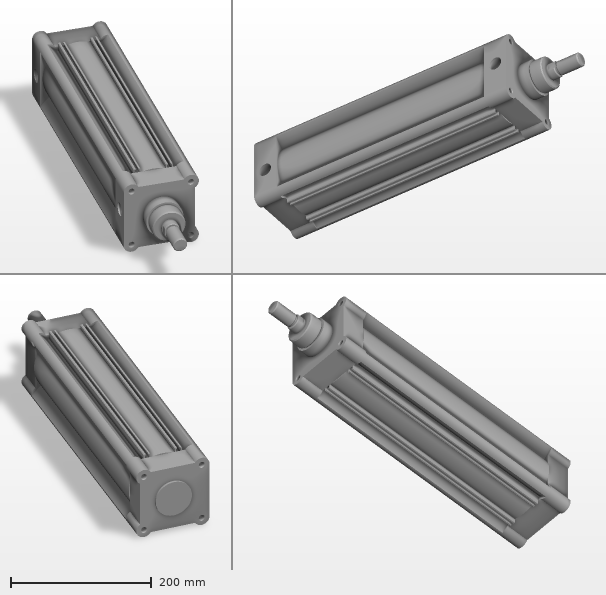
import cadquery as cq
import math

total_length = 533.0
section_size = 112.0
half_size = section_size / 2

rear_boss_length = 3.5
cap_length = 38.5
barrel_length = 361.5
barrel_start = rear_boss_length + cap_length
barrel_end = barrel_start + barrel_length
front_face = barrel_end + cap_length

corner_radius = 11.5
corner_offset = half_size - corner_radius

cap_recess = 6.0
boss_radius = 27.5
bolt_hole_radius = 3.5
bolt_hole_chamfer = 1.0
bolt_hole_depth = 16.0
port_radius = 10.0
port_depth = 16.0
port_rise = 6.0

front_boss_length = 17.0
collar_radius = 25.0
collar_crown = 0.5
collar_length = 21.5
collar_chamfer = 1.5

shell_radius = 52.0
groove_edge = 45.5
slot_inner = 18.5
slot_outer = 29.5
rib_width = 3.0
rib_stem = 1.5
lip_height = 1.5
rib_chamfer = 1.0
rib_root = 37.5

rod_radius = 12.0
shank_chamfer = 1.0
wrench_flat_offset = 10.5
wrench_flat_length = 10.0
neck_radius = 9.0
neck_length = 2.0
thread_radius = 10.5
thread_chamfer = 1.5
rod_start = front_face + front_boss_length + collar_length
rod_length = total_length - rod_start
thread_length = 37.5
shank_length = rod_length - thread_length - neck_length

corners = [(y, z) for y in (-corner_offset, corner_offset) for z in (-corner_offset, corner_offset)]


def section_plane(x):
    """Plane across the axis: local x is +Y, local y is +Z, normal is +X."""
    return cq.Workplane("YZ", origin=(x, 0, 0))


def cylinder(x, radius, length):
    return section_plane(x).circle(radius).extrude(length)


def cap_block(x):
    """Cap outline: plain -Y side, other sides recessed between round corner lobes."""
    side = half_size - cap_recess
    lobe_end = corner_offset - math.sqrt(corner_radius ** 2 - (side - corner_offset) ** 2)
    outer_arc = corner_offset + corner_radius * math.sqrt(0.5)
    return (
        section_plane(x)
        .moveTo(-half_size, -corner_offset)
        .lineTo(-half_size, corner_offset)
        .threePointArc((-outer_arc, outer_arc), (-lobe_end, side))
        .lineTo(lobe_end, side)
        .threePointArc((outer_arc, outer_arc), (side, lobe_end))
        .lineTo(side, -lobe_end)
        .threePointArc((outer_arc, -outer_arc), (lobe_end, -side))
        .lineTo(-lobe_end, -side)
        .threePointArc((-outer_arc, -outer_arc), (-half_size, -corner_offset))
        .close()
        .extrude(cap_length)
    )


def bolt_hole(x, y, z, direction):
    """Blind hole with a chamfered mouth at x; direction is +1 or -1 along X."""
    axis = cq.Vector(direction, 0, 0)
    mouth = cq.Vector(x, y, z)
    bore = cq.Solid.makeCylinder(bolt_hole_radius, bolt_hole_depth, mouth, axis)
    mouth_radius = bolt_hole_radius + bolt_hole_chamfer
    countersink = cq.Solid.makeCone(mouth_radius, bolt_hole_radius, bolt_hole_chamfer, mouth, axis)
    return cq.Workplane(bore.fuse(countersink))


def make_cap(x, bolt_face_x, bolt_direction, port_z):
    """Cap block with tie-rod holes in its outer face and a port in its -Y side."""
    cap = cap_block(x)
    for y, z in corners:
        cap = cap.cut(bolt_hole(bolt_face_x, y, z, bolt_direction))
    port = (
        cq.Workplane("XZ", origin=(x + cap_length / 2, -half_size, port_z))
        .circle(port_radius)
        .extrude(-port_depth)
    )
    return cap.cut(port)


def make_rear_cap():
    boss = cylinder(0, boss_radius, rear_boss_length)
    return make_cap(rear_boss_length, rear_boss_length, 1, -port_rise).union(boss)


def crowned_collar(x):
    """Collar turned about the axis, slightly thicker at mid length, chamfered at both ends."""
    end_radius = collar_radius - collar_crown
    return (
        cq.Workplane("XY", origin=(x, 0, 0))
        .lineTo(0, end_radius - collar_chamfer)
        .lineTo(collar_chamfer, end_radius)
        .threePointArc((collar_length / 2, collar_radius), (collar_length - collar_chamfer, end_radius))
        .lineTo(collar_length, end_radius - collar_chamfer)
        .lineTo(collar_length, 0)
        .close()
        .revolve(360, (0, 0, 0), (1, 0, 0))
    )


def make_front_cap():
    boss = cylinder(front_face, boss_radius, front_boss_length)
    collar = crowned_collar(front_face + front_boss_length)
    return make_cap(barrel_end, front_face, -1, port_rise).union(boss).union(collar)


def corner_rail():
    """Rail at the +Y +Z corner: rounded outside, 45 degree groove faces beside it."""
    outer_arc = corner_offset + corner_radius * math.sqrt(0.5)
    groove_start = math.sqrt(corner_radius ** 2 - (groove_edge - corner_offset) ** 2) + corner_offset
    inward = groove_start - groove_edge
    return (
        section_plane(barrel_start)
        .moveTo(inward, 0)
        .lineTo(groove_start, groove_edge)
        .threePointArc((outer_arc, outer_arc), (groove_edge, groove_start))
        .lineTo(0, inward)
        .lineTo(0, 0)
        .close()
        .extrude(barrel_length)
    )


def hooked_rib(outside, inward):
    """Rib on the +Z side with its lip turned into the slot; inward is +1 or -1 along Y."""
    return (
        section_plane(barrel_start)
        .moveTo(outside, rib_root)
        .lineTo(outside, half_size - rib_chamfer)
        .lineTo(outside + inward * rib_chamfer, half_size)
        .lineTo(outside + inward * rib_width, half_size)
        .lineTo(outside + inward * rib_width, half_size - lip_height)
        .lineTo(outside + inward * rib_stem, half_size - lip_height)
        .lineTo(outside + inward * rib_stem, rib_root)
        .close()
        .extrude(barrel_length)
    )


def make_barrel():
    barrel = cylinder(barrel_start, shell_radius, barrel_length)
    rail = corner_rail()
    for quarter in range(4):
        barrel = barrel.union(rail.rotate((0, 0, 0), (1, 0, 0), 90 * quarter))
    for outside, inward in ((slot_inner, 1), (slot_outer, -1)):
        rib = hooked_rib(outside, inward)
        barrel = barrel.union(rib).union(rib.mirror("XZ"))
        rib_below = rib.mirror("XY")
        barrel = barrel.union(rib_below).union(rib_below.mirror("XZ"))
    return barrel


def make_piston_rod():
    shank = (
        cylinder(rod_start, rod_radius, shank_length)
        .faces(">X").edges().chamfer(shank_chamfer)
    )
    flats_start = rod_start + shank_length - wrench_flat_length
    for side in (-1, 1):
        flat_cut = (
            section_plane(flats_start)
            .center(side * (wrench_flat_offset + rod_radius / 2), 0)
            .rect(rod_radius, 2 * rod_radius)
            .extrude(wrench_flat_length)
        )
        shank = shank.cut(flat_cut)
    neck_start = rod_start + shank_length
    neck = cylinder(neck_start, neck_radius, neck_length)
    thread = (
        cylinder(neck_start + neck_length, thread_radius, thread_length)
        .faces("<X or >X").edges().chamfer(thread_chamfer)
    )
    return shank.union(neck).union(thread)


rear_cap = make_rear_cap()
barrel = make_barrel()
front_cap = make_front_cap()
piston_rod = make_piston_rod()

result = cq.Compound.makeCompound([rear_cap.val(), barrel.val(), front_cap.val(), piston_rod.val()])